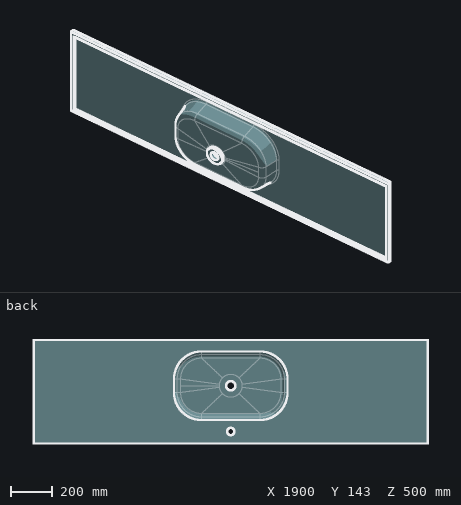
import cadquery as cq
import math

length = 1900.0
height = 500.0
slab_thickness = 19.0

recess_depth = 8.0
recess_slope_width = 5.0
side_rim = 15.0
bottom_rim = 11.0
top_rim = 23.0
sheet_thickness = slab_thickness - recess_depth

basin_z = 29.0
straight_half_x = 140.0
straight_half_z = 32.0
mouth_radius = 143.0
wall_draft = 10.0
floor_edge_depth = 112.0
floor_centre_depth = 130.0
floor_edge_round = 29.0
root_fillet = 10.0
wall = sheet_thickness

total_depth = 143.0
collar_radius = 45.0
cone_end_radius = 55.0
drain_radius = 21.9
tap_hole_radius = 17.0
tap_hole_z = -192.0


def plane_at(depth, z=0):
    """Workplane parallel to the slab at a depth behind its front face; normal along -Y."""
    return cq.Workplane("XZ", origin=(0, -depth, z))


def rounded_outline(depth, radius):
    """Basin outline whose corner arcs keep the same centres at every depth."""
    sketch = (
        cq.Sketch()
        .rect(2 * (straight_half_x + radius), 2 * (straight_half_z + radius))
        .vertices()
        .fillet(radius)
    )
    return plane_at(depth, basin_z).placeSketch(sketch)


def basin_body(start_depth, start_radius, edge_depth, centre_depth, edge_round):
    """Drafted basin body with a rounded floor edge and a conical floor."""
    wall_depth = edge_depth - start_depth
    body = rounded_outline(start_depth, start_radius).extrude(wall_depth, taper=wall_draft)
    body = body.faces("<Y").edges().fillet(edge_round)
    end_radius = start_radius - wall_depth * math.tan(math.radians(wall_draft))
    tangent_inset = edge_round * math.tan(math.radians((90 - wall_draft) / 2))
    floor_block = rounded_outline(edge_depth, end_radius - tangent_inset).extrude(centre_depth - edge_depth)
    outer_wire = floor_block.faces(">Y").wires().val()
    inner_wire = plane_at(centre_depth, basin_z).circle(cone_end_radius).wires().val()
    floor = cq.Solid.makeLoft([outer_wire, inner_wire], True)
    return body.union(cq.Workplane(floor))


def cylinder(start_depth, end_depth, radius, z):
    return plane_at(start_depth, z).circle(radius).extrude(end_depth - start_depth)


slab = plane_at(0).rect(length, height).extrude(slab_thickness)
recess_angle = math.degrees(math.atan2(recess_slope_width, recess_depth))
recess = (
    plane_at(slab_thickness)
    .center(0, (bottom_rim - top_rim) / 2)
    .rect(length - 2 * side_rim, height - top_rim - bottom_rim)
    .extrude(-recess_depth, taper=recess_angle)
)
slab = slab.cut(recess)

outer_basin = basin_body(
    sheet_thickness, mouth_radius, floor_edge_depth, floor_centre_depth, floor_edge_round
)
shell = slab.union(outer_basin)
selection_margin = 2.0
mouth_half_x = straight_half_x + mouth_radius + selection_margin
mouth_half_z = straight_half_z + mouth_radius + selection_margin
root_box = cq.selectors.BoxSelector(
    (-mouth_half_x, -sheet_thickness - selection_margin, basin_z - mouth_half_z),
    (mouth_half_x, -sheet_thickness + selection_margin, basin_z + mouth_half_z),
    boundingbox=True,
)
shell = shell.edges(root_box).fillet(root_fillet)

shell = shell.union(cylinder(floor_edge_depth, total_depth, collar_radius, basin_z))
hollow = basin_body(
    0,
    mouth_radius - wall + sheet_thickness * math.tan(math.radians(wall_draft)),
    floor_edge_depth - wall,
    floor_centre_depth - wall,
    floor_edge_round - wall,
)
shell = shell.cut(hollow)

shell = shell.cut(cylinder(0, total_depth, drain_radius, basin_z))
result = shell.cut(cylinder(0, slab_thickness, tap_hole_radius, tap_hole_z))